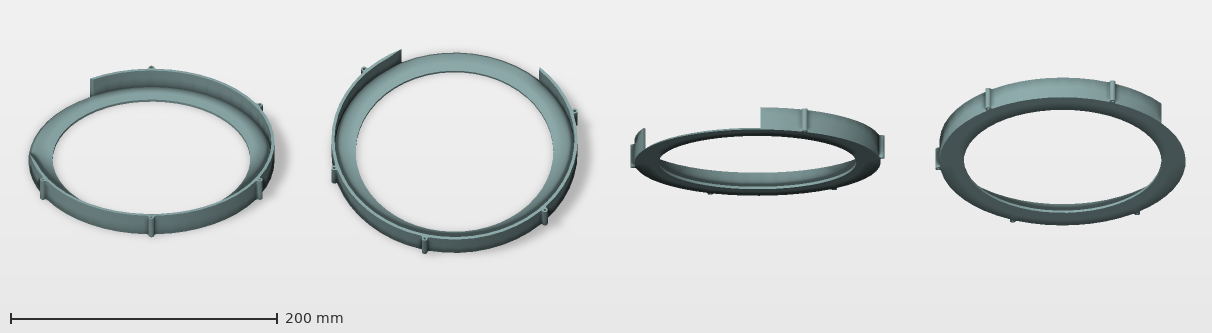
import cadquery as cq
import math

height = 17.3
outer_radius = 92.25
wall_thickness = 2.3
bore_radius = 74.1
floor_thickness = 2.0
inner_radius = outer_radius - wall_thickness

opening_start = 180.0
opening_end = 249.3
start_inner_setback = 1.0
end_inner_setback = 7.5

lug_radius = 2.1
lug_hole_radius = 1.0
lug_reach = 96.0
lug_root_fillet = 1.0
lug_pitch_radius = lug_reach - lug_radius
lug_angles = (-90, -30, 30, 90, 150)


def polar_point(radius, angle):
    """Point in the XY plane at a radius and an angle in degrees."""
    return (radius * math.cos(math.radians(angle)), radius * math.sin(math.radians(angle)))


def make_floor():
    """Flat annulus whose outer edge slopes inward from the bottom to the wall's inner face."""
    profile = [
        (bore_radius, 0),
        (outer_radius, 0),
        (inner_radius, floor_thickness),
        (bore_radius, floor_thickness),
    ]
    return cq.Workplane("XZ").polyline(profile).close().revolve(360, (0, 0), (0, 1))


def make_wall():
    """Upright wall running around the ring from one side of the opening to the other."""
    middle_angle = (opening_end - 360 + opening_start) / 2
    return (
        cq.Workplane("XY")
        .moveTo(*polar_point(outer_radius, opening_end))
        .threePointArc(polar_point(outer_radius, middle_angle), polar_point(outer_radius, opening_start))
        .lineTo(*polar_point(inner_radius, opening_start - start_inner_setback))
        .threePointArc(
            polar_point(inner_radius, middle_angle),
            polar_point(inner_radius, opening_end + end_inner_setback),
        )
        .close()
        .extrude(height)
    )


def make_lug(angle):
    """Full-height lug with a round tip and a straight root buried in the wall."""
    root_radius = (inner_radius + outer_radius) / 2
    root_length = lug_pitch_radius - root_radius
    tip = cq.Workplane("XY").center(lug_pitch_radius, 0).circle(lug_radius).extrude(height)
    root = (
        cq.Workplane("XY")
        .center(root_radius + root_length / 2, 0)
        .rect(root_length, 2 * lug_radius)
        .extrude(height)
    )
    return tip.union(root).rotate((0, 0, 0), (0, 0, 1), angle)


def make_lug_holes():
    """Screw holes through the full height of the lugs."""
    centres = [polar_point(lug_pitch_radius, angle) for angle in lug_angles]
    return cq.Workplane("XY").pushPoints(centres).circle(lug_hole_radius).extrude(height)


def lug_root_corners():
    """Selector for the upright edges where the lug sides meet the outside of the wall."""
    half_angle = math.degrees(math.asin(lug_radius / outer_radius))
    tolerance = 0.2
    selector = None
    for angle in lug_angles:
        for side in (-1, 1):
            x, y = polar_point(outer_radius, angle + side * half_angle)
            corner = cq.selectors.BoxSelector(
                (x - tolerance, y - tolerance, 0), (x + tolerance, y + tolerance, height)
            )
            selector = corner if selector is None else selector + corner
    return selector


result = make_floor().union(make_wall())
for lug_angle in lug_angles:
    result = result.union(make_lug(lug_angle))
result = result.edges(lug_root_corners()).fillet(lug_root_fillet)
result = result.cut(make_lug_holes())